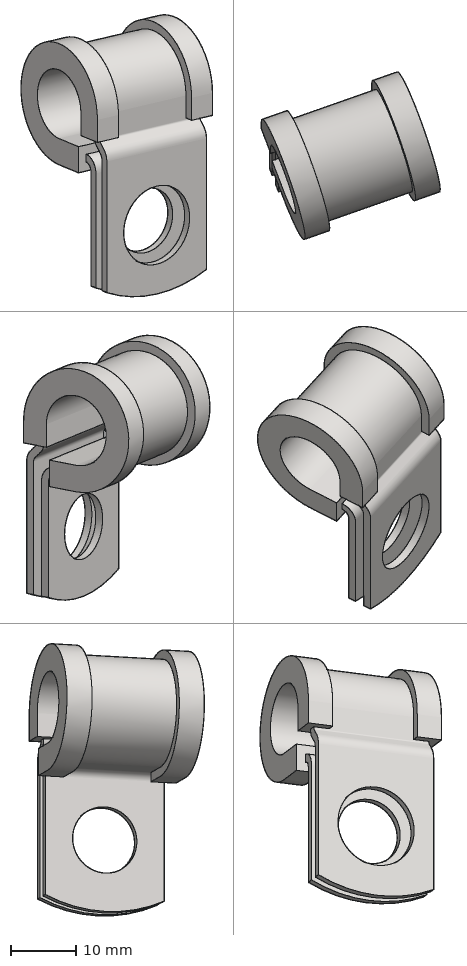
import cadquery as cq
import math

cushion_outer_radius = 9.8
bore_radius = 5.55
cushion_width = 22.1
flange_width = 4.05
upper_arm_length = 3.6
lower_arm_length = 4.95

strap_thickness = 1.28
strap_outer_radius = 8.35
strap_width = 19.15
strap_inner_radius = strap_outer_radius - strap_thickness
bend_radius = 1.2
neck_bend_radius = 0.4
neck_bend_angle = 45.0
neck_drop = 0.25
overall_width = 20.02
overall_height = 39.97
tab_bottom = cushion_outer_radius - overall_height
outer_tab_face = overall_width - cushion_outer_radius

lower_hole_diameter = 10.3
upper_hole_diameter = 12.65
hole_height = -19.03
tab_end_rise = 2.1

groove_width = cushion_width - 2 * flange_width


def loop(outer_radius, inner_radius, width):
    """Open three-quarter ring with both straight arms, centred on Y = 0."""
    diagonal = math.sqrt(0.5)
    return (
        cq.Workplane("XZ")
        .moveTo(outer_radius, -upper_arm_length)
        .lineTo(outer_radius, 0)
        .threePointArc((-outer_radius * diagonal, outer_radius * diagonal), (0, -outer_radius))
        .lineTo(lower_arm_length, -outer_radius)
        .lineTo(lower_arm_length, -inner_radius)
        .lineTo(0, -inner_radius)
        .threePointArc((-inner_radius * diagonal, inner_radius * diagonal), (inner_radius, 0))
        .lineTo(inner_radius, -upper_arm_length)
        .close()
        .extrude(width / 2, both=True)
    )


def arc_point(center, radius, degrees):
    angle = math.radians(degrees)
    return (center[0] + radius * math.cos(angle), center[1] + radius * math.sin(angle))


def lower_tab():
    """Quarter bend from the lower arm into a vertical tab."""
    inside = bend_radius
    outside = bend_radius + strap_thickness
    center = (lower_arm_length, -strap_outer_radius - bend_radius)
    return (
        cq.Workplane("XZ")
        .moveTo(*arc_point(center, outside, 90))
        .threePointArc(arc_point(center, outside, 45), arc_point(center, outside, 0))
        .lineTo(center[0] + outside, tab_bottom)
        .lineTo(center[0] + inside, tab_bottom)
        .lineTo(*arc_point(center, inside, 0))
        .threePointArc(arc_point(center, inside, 45), arc_point(center, inside, 90))
        .close()
        .extrude(strap_width / 2, both=True)
    )


def upper_tab():
    """S-bend that steps outward from the upper arm into a vertical tab."""
    angle = math.radians(neck_bend_angle)
    half_angle = neck_bend_angle / 2
    neck_outside = neck_bend_radius + strap_thickness
    outside = bend_radius + strap_thickness
    neck_center = (strap_outer_radius + neck_bend_radius, -upper_arm_length - neck_drop)

    center_x = outer_tab_face - outside
    center_spacing = neck_bend_radius + outside
    sloped_run = (
        center_x - neck_center[0] + center_spacing * math.cos(angle)
    ) / math.sin(angle)
    center_z = neck_center[1] - center_spacing * math.sin(angle) - sloped_run * math.cos(angle)
    center = (center_x, center_z)

    neck_start = 180
    neck_middle = neck_start + half_angle
    neck_end = neck_start + neck_bend_angle
    return (
        cq.Workplane("XZ")
        .moveTo(strap_outer_radius, -upper_arm_length)
        .lineTo(*arc_point(neck_center, neck_bend_radius, neck_start))
        .threePointArc(
            arc_point(neck_center, neck_bend_radius, neck_middle),
            arc_point(neck_center, neck_bend_radius, neck_end),
        )
        .lineTo(*arc_point(center, outside, neck_bend_angle))
        .threePointArc(arc_point(center, outside, half_angle), arc_point(center, outside, 0))
        .lineTo(outer_tab_face, tab_bottom)
        .lineTo(outer_tab_face - strap_thickness, tab_bottom)
        .lineTo(*arc_point(center, bend_radius, 0))
        .threePointArc(
            arc_point(center, bend_radius, half_angle),
            arc_point(center, bend_radius, neck_bend_angle),
        )
        .lineTo(*arc_point(neck_center, neck_outside, neck_end))
        .threePointArc(
            arc_point(neck_center, neck_outside, neck_middle),
            arc_point(neck_center, neck_outside, neck_start),
        )
        .lineTo(strap_inner_radius, -upper_arm_length)
        .close()
        .extrude(strap_width / 2, both=True)
    )


def tab_envelope(hole_diameter):
    """Tab outline with its rounded end and a hole, running along X."""
    half_width = strap_width / 2
    corner_height = tab_bottom + tab_end_rise
    return (
        cq.Workplane("YZ")
        .moveTo(-half_width, 0)
        .lineTo(-half_width, corner_height)
        .threePointArc((0, tab_bottom), (half_width, corner_height))
        .lineTo(half_width, 0)
        .close()
        .extrude(overall_width)
        .cut(
            cq.Workplane("YZ")
            .center(0, hole_height)
            .circle(hole_diameter / 2)
            .extrude(overall_width)
        )
    )


groove = loop(cushion_outer_radius, strap_outer_radius, groove_width)
cushion = loop(cushion_outer_radius, bore_radius, cushion_width).cut(groove)
strap = loop(strap_outer_radius, strap_inner_radius, strap_width)
tabs = [
    lower_tab().intersect(tab_envelope(lower_hole_diameter)),
    upper_tab().intersect(tab_envelope(upper_hole_diameter)),
]

body = cushion.union(strap)
for tab in tabs:
    body = body.union(tab)
result = body